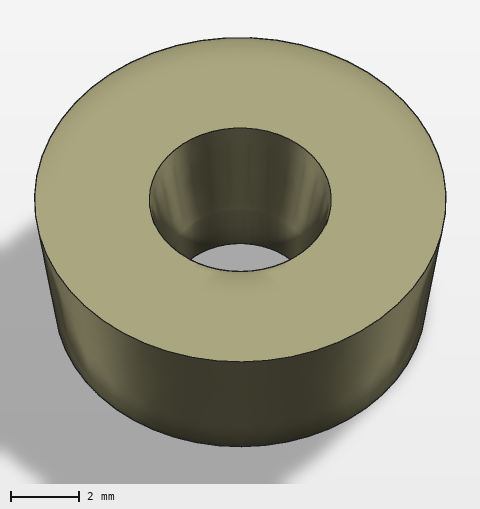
import cadquery as cq
import math

top_diameter = 12.0
height = 4.76
relief_angle = 7.0

hole_diameter = 4.2
countersink_diameter = 5.3
countersink_depth = 3.17

top_radius = top_diameter / 2
bottom_radius = top_radius - height * math.tan(math.radians(relief_angle))
hole_radius = hole_diameter / 2
countersink_radius = countersink_diameter / 2
countersink_floor = height - countersink_depth

section = (
    cq.Workplane("XZ")
    .moveTo(hole_radius, 0)
    .lineTo(bottom_radius, 0)
    .lineTo(top_radius, height)
    .lineTo(countersink_radius, height)
    .lineTo(hole_radius, countersink_floor)
    .close()
)

result = section.revolve(360, (0, 0, 0), (0, 1, 0))